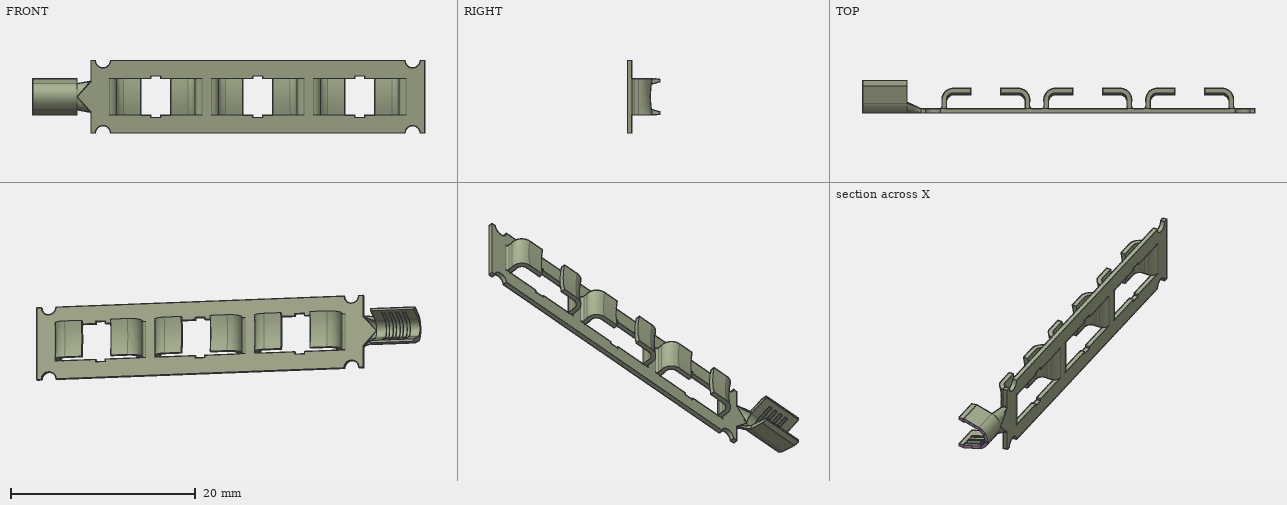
import cadquery as cq
import math

total_length = 42.4
strip_height = 7.9
sheet = 0.5
strip_start = 6.28
strip_length = total_length - strip_start
strip_middle = strip_start + strip_length / 2

window_count = 3
window_pitch = 11.05
window_length = 10.0
window_height = 3.95
relief_width = 1.05
relief_depth = 0.25
window_centres = [strip_middle + (i - (window_count - 1) / 2) * window_pitch for i in range(window_count)]

notch_radius = 0.8
notch_inset = 1.3

root_radius = 0.25
tab_top = 2.7
tab_gap = 3.22
tab_bow = 0.2
tab_bend_radius = 0.75
tab_bend_stations = 5

barrel_length = 4.8
barrel_depth = 3.55
barrel_radius = 1.5
wing_angle = math.radians(16.5)
wing_tangent = math.pi / 2 - wing_angle
barrel_inner_radius = barrel_radius - sheet
tip_bevel_start = 2.93
tip_thickness = 0.25

groove_count = 4
groove_pitch = 0.75
groove_width = 0.35
groove_depth = 0.13

neck_half_width = 1.7
neck_edge = 0.1


def box(x0, x1, y0, y1, z0, z1):
    return cq.Workplane("XY").box(x1 - x0, y1 - y0, z1 - z0, centered=False).translate((x0, y0, z0))


def make_strip():
    """Flat strip with relieved windows and a round notch near each corner."""
    half = strip_height / 2
    strip = box(strip_start, total_length, 0, sheet, -half, half)
    for x in window_centres:
        for length, height in (
            (window_length, window_height),
            (relief_width, window_height + 2 * relief_depth),
        ):
            strip = strip.cut(box(x - length / 2, x + length / 2, 0, sheet, -height / 2, height / 2))
    for x in (strip_start + notch_inset, total_length - notch_inset):
        for z in (-half, half):
            notch = cq.Workplane("XZ", origin=(x, 0, z)).circle(notch_radius).extrude(-sheet)
            strip = strip.cut(notch)
    return strip


def tab_section(middle_point, inward, bow):
    """Wire of the tab cross-section, its long edges bowed outward from the middle."""
    half = window_height / 2
    plane = cq.Plane(origin=middle_point, xDir=inward, normal=cq.Vector(*inward).cross(cq.Vector(0, 0, 1)))
    section = cq.Workplane(plane).moveTo(-bow, -half)
    if bow == 0:
        section = section.lineTo(0, half).lineTo(sheet, half).lineTo(sheet, -half)
    else:
        section = section.threePointArc((0, 0), (-bow, half)).lineTo(sheet - bow, half)
        section = section.threePointArc((sheet, 0), (sheet - bow, -half))
    return section.close().wire().val()


def make_tab():
    """Tab at the left end of a window whose centre is at X = 0."""
    half = window_height / 2
    root_x = -window_length / 2
    leg_x = root_x + root_radius
    root_y = root_radius + sheet
    diagonal = math.sqrt(0.5)

    root = (
        cq.Workplane("XY", origin=(0, 0, -half))
        .moveTo(root_x, 0)
        .threePointArc((root_x + root_y * diagonal, root_y - root_y * diagonal), (leg_x + sheet, root_y))
        .lineTo(leg_x, root_y)
        .threePointArc((root_x + root_radius * diagonal, root_y - root_radius * diagonal), (root_x, sheet))
        .close()
        .extrude(window_height)
    )

    bend_outer = tab_bend_radius + sheet
    centre_x = leg_x + bend_outer
    centre_y = tab_top - tab_bow - bend_outer
    leg = box(leg_x, leg_x + sheet, root_y, centre_y, -half, half)

    wires = []
    for i in range(tab_bend_stations):
        angle = i / (tab_bend_stations - 1) * math.pi / 2
        inward = (math.cos(angle), -math.sin(angle), 0)
        middle = (centre_x - bend_outer * inward[0], centre_y - bend_outer * inward[1], 0)
        wires.append(tab_section(middle, inward, tab_bow * math.sin(angle)))
    bend = cq.Workplane(cq.Solid.makeLoft(wires, False))

    arm_length = -tab_gap / 2 - centre_x
    arm_face = cq.Face.makeFromWires(wires[-1])
    arm = cq.Workplane(cq.Solid.extrudeLinear(arm_face, cq.Vector(arm_length, 0, 0)))
    return root.union(leg).union(bend).union(arm)


def arc_point(radius, angle):
    """(Y, Z) on an arc about the barrel axis, the angle measured from the barrel bottom."""
    return (barrel_radius - radius * math.cos(angle), radius * math.sin(angle))


def quarter_trough(x, inner_radius, outer_radius):
    """Half of a round barrel bottom, sketched at the given X in (Y, Z)."""
    return (
        cq.Workplane("YZ", origin=(x, 0, 0))
        .moveTo(*arc_point(outer_radius, 0))
        .threePointArc(arc_point(outer_radius, wing_tangent / 2), arc_point(outer_radius, wing_tangent))
        .lineTo(*arc_point(inner_radius, wing_tangent))
        .threePointArc(arc_point(inner_radius, wing_tangent / 2), arc_point(inner_radius, 0))
        .close()
    )


def wing_point(radius, y):
    """(Y, Z) at height y on the wing line tangent to an arc of the given radius."""
    tangent_y, tangent_z = arc_point(radius, wing_tangent)
    return (y, tangent_z + (y - tangent_y) * math.tan(wing_angle))


def half_trough(x, length, inner_radius, outer_radius):
    """Round bottom with a straight wing reaching up to the start of the tip bevel."""
    wing = (
        cq.Workplane("YZ", origin=(x, 0, 0))
        .polyline([
            arc_point(outer_radius, wing_tangent),
            wing_point(outer_radius, tip_bevel_start),
            wing_point(inner_radius, tip_bevel_start),
            arc_point(inner_radius, wing_tangent),
        ])
        .close()
        .extrude(length)
    )
    return quarter_trough(x, inner_radius, outer_radius).extrude(length).union(wing)


def make_half_barrel():
    """Upper half of the barrel, grooved on the inside."""
    tip_y, tip_z = wing_point(barrel_inner_radius, barrel_depth)
    tip = (
        cq.Workplane("YZ")
        .polyline([
            wing_point(barrel_inner_radius, tip_bevel_start),
            wing_point(barrel_radius, tip_bevel_start),
            (tip_y, tip_z + tip_thickness),
            (tip_y, tip_z),
        ])
        .close()
        .extrude(barrel_length)
    )
    barrel = half_trough(0, barrel_length, barrel_inner_radius, barrel_radius).union(tip)
    for i in range(groove_count):
        groove_x = barrel_length / 2 + (i - (groove_count - 1) / 2) * groove_pitch - groove_width / 2
        groove = half_trough(groove_x, groove_width, barrel_inner_radius, barrel_inner_radius + groove_depth)
        barrel = barrel.cut(groove)
    return barrel


def make_half_neck():
    """Upper half of the transition from the round barrel bottom to the flat strip."""
    start = quarter_trough(barrel_length, barrel_inner_radius, barrel_radius).wire().val()
    inner_edge = neck_half_width - neck_edge
    end = (
        cq.Workplane("YZ", origin=(strip_start, 0, 0))
        .polyline([(0, inner_edge), (0, neck_half_width), (sheet, neck_half_width), (sheet, inner_edge)])
        .close()
        .wire()
        .val()
    )
    side = cq.Workplane(cq.Solid.makeLoft([start, end], True))
    flat = (
        cq.Workplane("XZ")
        .polyline([(barrel_length, 0), (strip_start, inner_edge), (strip_start, 0)])
        .close()
        .extrude(-sheet)
    )
    return side.union(flat)


result = make_strip()

left_tab = make_tab()
right_tab = left_tab.mirror("YZ")
for window_x in window_centres:
    for tab in (left_tab, right_tab):
        result = result.union(tab.translate((window_x, 0, 0)))

half_terminal = make_half_barrel().union(make_half_neck())
result = result.union(half_terminal).union(half_terminal.mirror("XY"))